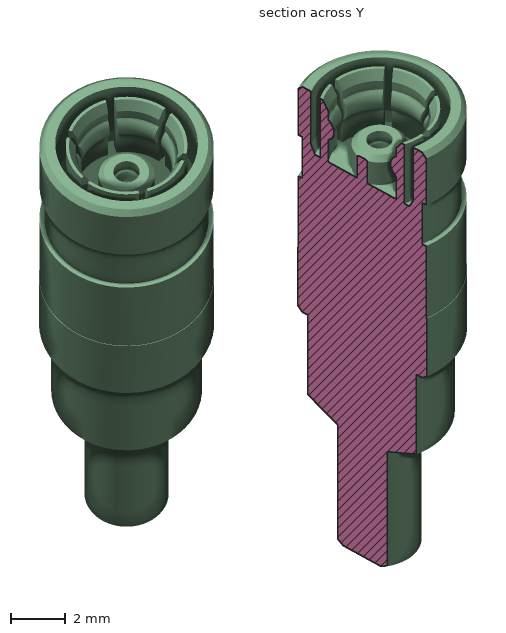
import cadquery as cq

FULL_TURN = 360

TAIL_LENGTH = 5.81
SHOULDER_LENGTH = 0.67
BODY_LENGTH = 3.9
LOWER_SLEEVE_LENGTH = 3.05
UPPER_SLEEVE_LENGTH = 3.55
GROOVE_LENGTH = 2.0
HEAD_LENGTH = 2.5

SHOULDER_BOTTOM = TAIL_LENGTH
BODY_BOTTOM = SHOULDER_BOTTOM + SHOULDER_LENGTH
SLEEVE_BOTTOM = BODY_BOTTOM + BODY_LENGTH
SLEEVE_SPLIT = SLEEVE_BOTTOM + LOWER_SLEEVE_LENGTH
GROOVE_BOTTOM = SLEEVE_SPLIT + UPPER_SLEEVE_LENGTH
GROOVE_TOP = GROOVE_BOTTOM + GROOVE_LENGTH
RIM = GROOVE_TOP + HEAD_LENGTH

TAIL_RADIUS = 1.54
BODY_RADIUS = 2.75
LOWER_SLEEVE_RADIUS = 3.2
UPPER_SLEEVE_RADIUS = 3.18
GROOVE_RADIUS = 3.0
EDGE_CHAMFER = 0.2

SOCKET_DEPTH = 3.0
SOCKET_RADIUS = 2.6
SOCKET_FLOOR_RADIUS = 2.43
SOCKET_TAPER_HEIGHT = 0.4
SOCKET_FLOOR = RIM - SOCKET_DEPTH

FINGER_COUNT = 6
FINGER_RECESS = 0.1
FINGER_OUTER_RADIUS = 2.22
FINGER_MOUTH_RADIUS = 2.1
FINGER_BORE_RADIUS = 1.87
LEAD_IN_HEIGHT = 0.4
THROAT_HEIGHT = 0.42
BULGE_HEIGHT = 1.0
BULGE_RADIUS = 1.65
SLOT_WIDTH = 0.32
FINGER_TOP = RIM - FINGER_RECESS
LEAD_IN_BOTTOM = FINGER_TOP - LEAD_IN_HEIGHT
BULGE_TOP = LEAD_IN_BOTTOM - THROAT_HEIGHT
BULGE_BOTTOM = BULGE_TOP - BULGE_HEIGHT

PIN_RADIUS = 1.02
PIN_HEIGHT = 1.3
PIN_TOP = SOCKET_FLOOR + PIN_HEIGHT
PIN_COUNTERBORE_RADIUS = 0.48
PIN_COUNTERBORE_DEPTH = 0.5
PIN_TAPER_RADIUS = 0.38
PIN_TAPER_TIP_RADIUS = 0.17
PIN_TAPER_DEPTH = 0.25


def revolve_profile(profile):
    """Close a radius-height outline and turn it about the Z axis."""
    return profile.close().revolve(FULL_TURN, (0, 0, 0), (0, 1, 0))


def make_outside():
    return revolve_profile(
        cq.Workplane("XZ")
        .moveTo(0, 0)
        .lineTo(TAIL_RADIUS - EDGE_CHAMFER, 0)
        .lineTo(TAIL_RADIUS, EDGE_CHAMFER)
        .lineTo(TAIL_RADIUS, SHOULDER_BOTTOM)
        .lineTo(BODY_RADIUS, BODY_BOTTOM)
        .lineTo(BODY_RADIUS, SLEEVE_BOTTOM)
        .lineTo(LOWER_SLEEVE_RADIUS - EDGE_CHAMFER, SLEEVE_BOTTOM)
        .lineTo(LOWER_SLEEVE_RADIUS, SLEEVE_BOTTOM + EDGE_CHAMFER)
        .lineTo(LOWER_SLEEVE_RADIUS, SLEEVE_SPLIT)
        .lineTo(UPPER_SLEEVE_RADIUS, SLEEVE_SPLIT)
        .lineTo(UPPER_SLEEVE_RADIUS, GROOVE_BOTTOM)
        .lineTo(GROOVE_RADIUS, GROOVE_BOTTOM)
        .lineTo(GROOVE_RADIUS, GROOVE_TOP)
        .lineTo(UPPER_SLEEVE_RADIUS, GROOVE_TOP)
        .lineTo(UPPER_SLEEVE_RADIUS, RIM - EDGE_CHAMFER)
        .lineTo(UPPER_SLEEVE_RADIUS - EDGE_CHAMFER, RIM)
        .lineTo(0, RIM)
    )


def make_socket():
    return revolve_profile(
        cq.Workplane("XZ")
        .moveTo(0, SOCKET_FLOOR)
        .lineTo(SOCKET_FLOOR_RADIUS, SOCKET_FLOOR)
        .lineTo(SOCKET_RADIUS, SOCKET_FLOOR + SOCKET_TAPER_HEIGHT)
        .lineTo(SOCKET_RADIUS, RIM)
        .lineTo(0, RIM)
    )


def make_finger_ring():
    bulge_middle = (BULGE_TOP + BULGE_BOTTOM) / 2
    return revolve_profile(
        cq.Workplane("XZ")
        .moveTo(FINGER_OUTER_RADIUS, SOCKET_FLOOR)
        .lineTo(FINGER_OUTER_RADIUS, FINGER_TOP)
        .lineTo(FINGER_MOUTH_RADIUS, FINGER_TOP)
        .lineTo(FINGER_BORE_RADIUS, LEAD_IN_BOTTOM)
        .lineTo(FINGER_BORE_RADIUS, BULGE_TOP)
        .threePointArc((BULGE_RADIUS, bulge_middle), (FINGER_BORE_RADIUS, BULGE_BOTTOM))
        .lineTo(FINGER_BORE_RADIUS, SOCKET_FLOOR)
    )


def make_fingers():
    fingers = make_finger_ring()
    slot_height = FINGER_TOP - SOCKET_FLOOR
    slot = (
        cq.Workplane("XY", origin=(0, 0, SOCKET_FLOOR))
        .rect(2 * UPPER_SLEEVE_RADIUS, SLOT_WIDTH)
        .extrude(slot_height)
    )
    for i in range(FINGER_COUNT // 2):
        fingers = fingers.cut(slot.rotate((0, 0, 0), (0, 0, 1), i * FULL_TURN / FINGER_COUNT))
    return fingers


def make_pin():
    pin = cq.Workplane("XY", origin=(0, 0, SOCKET_FLOOR)).circle(PIN_RADIUS).extrude(PIN_HEIGHT)
    return pin.faces(">Z").chamfer(EDGE_CHAMFER)


def make_pin_hole():
    counterbore_floor = PIN_TOP - PIN_COUNTERBORE_DEPTH
    hole_bottom = counterbore_floor - PIN_TAPER_DEPTH
    return revolve_profile(
        cq.Workplane("XZ")
        .moveTo(0, hole_bottom)
        .lineTo(PIN_TAPER_TIP_RADIUS, hole_bottom)
        .lineTo(PIN_TAPER_RADIUS, counterbore_floor)
        .lineTo(PIN_COUNTERBORE_RADIUS, counterbore_floor)
        .lineTo(PIN_COUNTERBORE_RADIUS, PIN_TOP)
        .lineTo(0, PIN_TOP)
    )


shell = make_outside().cut(make_socket())
pin = make_pin().cut(make_pin_hole())
result = shell.union(make_fingers()).union(pin)